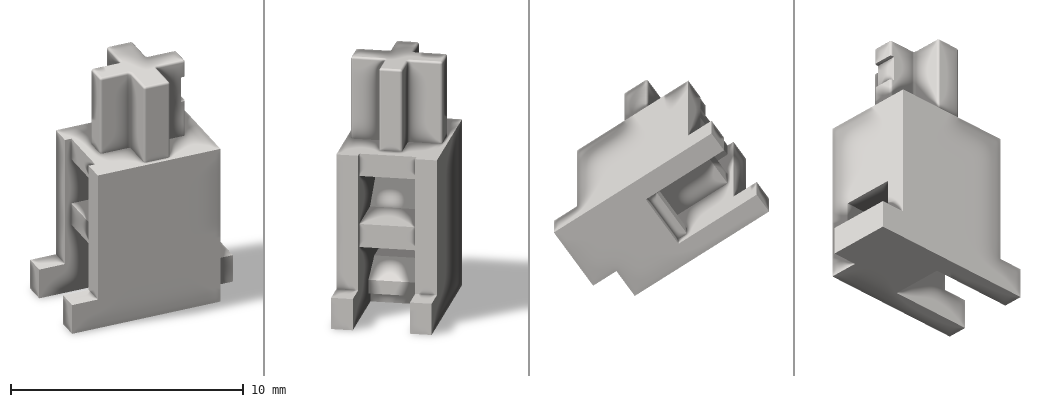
import cadquery as cq

width = 4.4
total_height = 11.2
body_height = 7.5
body_length = 5.78
foot_length = 1.21
front_foot_height = 1.41
rear_foot_height = 1.3
rear_foot_width = 3.0

wall_thickness = 0.95
channel_width = width - 2 * wall_thickness
channel_setback = 0.3

top_web_bottom = 6.5
ledge_top = 5.73
shelf_top = 4.32
shelf_bottom = 3.28
sill_top = 1.79
sill_edge = 1.12
sill_bottom = 0.5
ramp_start = channel_setback + 2.46
ramp_length = 1.79
sill_front = channel_setback + 2.1
sill_ramp_length = 1.34
sill_undercut = 0.45

cross_span = 4.0
arm_width_along_x = 1.01
arm_width_along_y = 1.22
cross_center_y = body_length / 2
edge_radius = 0.1
notch_depth = 0.2
notch_bottom = 9.21
notch_height = 1.2


def channel_cut(points):
    """Solid across the channel width from a closed (Y, Z) outline."""
    return (
        cq.Workplane("YZ")
        .polyline(points)
        .close()
        .extrude(channel_width / 2, both=True)
    )


def make_housing():
    """Side profile with front and rear feet, the rear one narrower."""
    rear = body_length + foot_length
    profile = [
        (-foot_length, 0),
        (rear, 0),
        (rear, rear_foot_height),
        (body_length, rear_foot_height),
        (body_length, body_height),
        (0, body_height),
        (0, front_foot_height),
        (-foot_length, front_foot_height),
    ]
    housing = cq.Workplane("YZ").polyline(profile).close().extrude(width / 2, both=True)
    foot_relief = cq.Workplane("XY").box(
        width - rear_foot_width, foot_length, rear_foot_height, centered=False
    )
    return housing.cut(foot_relief.translate((rear_foot_width - width / 2, body_length, 0)))


def cut_channel(housing):
    """Open the front, the pocket above the shelf and the window below it."""
    front_slot = channel_cut([
        (-foot_length, 0),
        (channel_setback, 0),
        (channel_setback, body_height),
        (-foot_length, body_height),
    ])
    upper_pocket = channel_cut([
        (channel_setback, shelf_top),
        (ramp_start, shelf_top),
        (ramp_start + ramp_length, ledge_top),
        (ramp_start + ramp_length, top_web_bottom),
        (channel_setback, top_web_bottom),
    ])
    lower_window = channel_cut([
        (channel_setback, 0),
        (sill_front + sill_undercut, 0),
        (sill_front + sill_undercut, sill_bottom),
        (sill_front, sill_bottom),
        (sill_front, sill_edge),
        (sill_front + sill_ramp_length, sill_top),
        (body_length, sill_top),
        (body_length, shelf_bottom),
        (channel_setback, shelf_bottom),
    ])
    return housing.cut(front_slot).cut(upper_pocket).cut(lower_window)


def make_plunger():
    """Cross with rounded edges and a shallow notch in its rear arm."""
    plunger_height = total_height - body_height
    base = cq.Workplane("XY", origin=(0, cross_center_y, body_height))
    cross = base.rect(cross_span, arm_width_along_y).extrude(plunger_height)
    cross = cross.union(base.rect(arm_width_along_x, cross_span).extrude(plunger_height))
    cross = cross.edges("|Z or >Z").fillet(edge_radius)
    notch = cq.Workplane("XY").box(
        arm_width_along_x, notch_depth, notch_height, centered=(True, False, False)
    )
    notch_y = cross_center_y + cross_span / 2 - notch_depth
    return cross.cut(notch.translate((0, notch_y, notch_bottom)))


result = cut_channel(make_housing()).union(make_plunger())